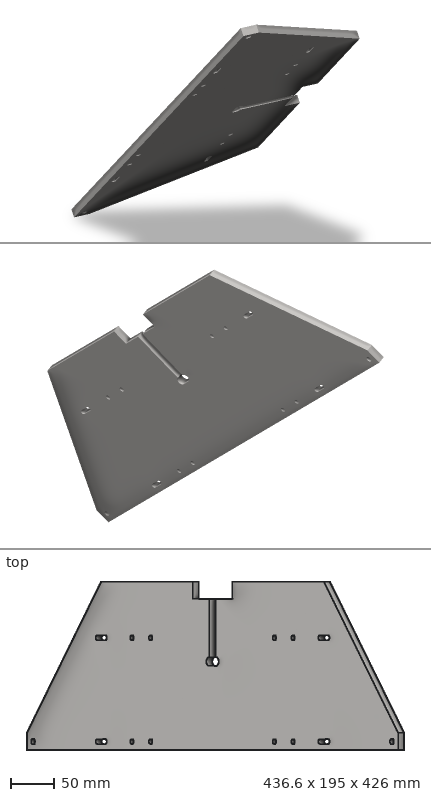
import cadquery as cq
import math

length = 600.0
width = 195.0
thickness = 10.0
tilt = 44.27

half_back_edge = 180.0
end_edge = 20.0

notch_width = 63.7
notch_depth = 20.0
slit_width = 10.0
cross_slot_length = 20.0
cross_slot_width = 10.0
cross_slot_y = 102.5

front_row_y = 10.0
row_spacing = 120.0
row_ys = (front_row_y, front_row_y + row_spacing)
hole_offsets = (100.0, 130.0)
hole_diameter = 5.5
mount_slot_offset = 180.0
mount_slot_length = 18.0
corner_hole_inset = 10.0
corner_hole_diameter = 6.5

through = 2 * thickness


def mirrored(offset, y):
    """Pair of points either side of the middle of the plate."""
    return [(-offset, y), (offset, y)]


def plate_blank():
    half_length = length / 2
    outline = [
        (-half_length, 0),
        (half_length, 0),
        (half_length, end_edge),
        (half_back_edge, width),
        (-half_back_edge, width),
        (-half_length, end_edge),
    ]
    return cq.Workplane("XY").polyline(outline).close().extrude(thickness / 2, both=True)


def back_opening(opening_width, front_y):
    """Rectangular cutter from front_y to the back edge."""
    depth = width - front_y
    return cq.Workplane("XY").center(0, front_y + depth / 2).rect(opening_width, depth).extrude(
        through / 2, both=True
    )


def round_holes(points, diameter):
    return cq.Workplane("XY").pushPoints(points).circle(diameter / 2).extrude(through / 2, both=True)


def long_slots(points, slot_length, slot_width):
    return cq.Workplane("XY").pushPoints(points).slot2D(slot_length, slot_width).extrude(
        through / 2, both=True
    )


plate = plate_blank()
plate = plate.cut(back_opening(notch_width, width - notch_depth))
plate = plate.cut(back_opening(slit_width, cross_slot_y))
plate = plate.cut(long_slots([(0, cross_slot_y)], cross_slot_length, cross_slot_width))

for row_y in row_ys:
    for hole_offset in hole_offsets:
        plate = plate.cut(round_holes(mirrored(hole_offset, row_y), hole_diameter))
    plate = plate.cut(long_slots(mirrored(mount_slot_offset, row_y), mount_slot_length, hole_diameter))

corner_hole_offset = length / 2 - corner_hole_inset
plate = plate.cut(round_holes(mirrored(corner_hole_offset, front_row_y), corner_hole_diameter))

tilted = plate.rotate((0, 0, 0), (0, 1, 0), -tilt)
angle = math.radians(tilt)
half_span_x = (length * math.cos(angle) + thickness * math.sin(angle)) / 2
half_span_z = (length * math.sin(angle) + thickness * math.cos(angle)) / 2
result = tilted.translate((half_span_x, 0, half_span_z))